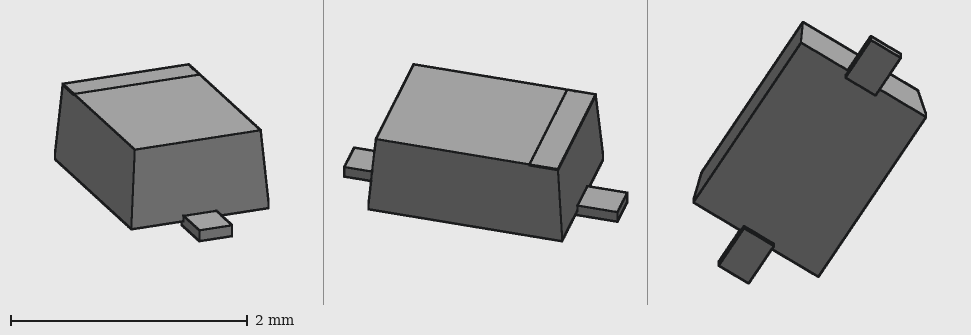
import cadquery as cq

overall_length = 2.4
overall_height = 0.75

housing_length = 1.7
housing_width = 1.25
standoff = 0.05
band_top = 0.115
taper_inset = 0.05
top_length = housing_length - 2 * taper_inset
top_width = housing_width - 2 * taper_inset

lead_length = 0.4
lead_width = 0.3
lead_thickness = 0.1
lead_centre_x = (overall_length - lead_length) / 2

mark_length = 0.25
mark_thickness = 0.01
mark_bottom = overall_height - mark_thickness


def make_lead(side):
    """Flat lead at the +X (side = 1) or -X (side = -1) end."""
    return (
        cq.Workplane("XY")
        .center(side * lead_centre_x, 0)
        .rect(lead_length, lead_width)
        .extrude(lead_thickness)
    )


def make_envelope():
    """Full outer shape of the housing, before recesses are cut."""
    return (
        cq.Workplane("XY")
        .workplane(offset=standoff)
        .rect(housing_length, housing_width)
        .extrude(band_top - standoff)
        .faces(">Z")
        .workplane()
        .rect(housing_length, housing_width)
        .workplane(offset=overall_height - band_top)
        .rect(top_length, top_width)
        .loft(combine=True)
    )


def make_mark(envelope):
    """Strip of the envelope's top layer, so its outer sides follow the taper."""
    mark_end_x = -top_length / 2 + mark_length
    strip_length = mark_end_x + housing_length / 2
    strip = (
        cq.Workplane("XY")
        .workplane(offset=mark_bottom)
        .center(mark_end_x - strip_length / 2, 0)
        .rect(strip_length, housing_width)
        .extrude(mark_thickness)
    )
    return envelope.intersect(strip)


def make_housing(envelope, inserts):
    """Housing with a matching recess for every inserted body."""
    housing = envelope
    for insert in inserts:
        housing = housing.cut(insert)
    return housing


leads = [make_lead(side) for side in (-1, 1)]
envelope = make_envelope()
mark = make_mark(envelope)
housing = make_housing(envelope, leads + [mark])

result = cq.Compound.makeCompound([housing.val(), mark.val(), *[lead.val() for lead in leads]])